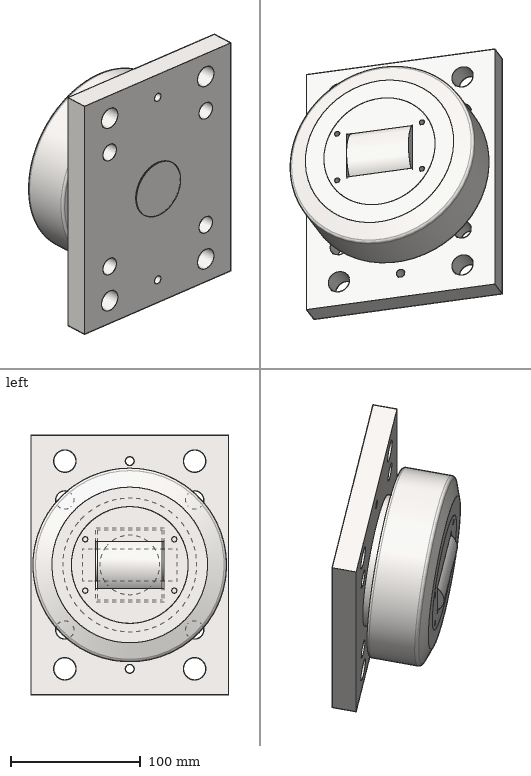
import cadquery as cq

ring_front_x = 5.0
ring_width = 45.5
collar_thickness = 7.8
plate_thickness = 19.0
shank_overhang = 1.0
ring_back_x = ring_front_x + ring_width
plate_front_x = ring_back_x + collar_thickness
plate_back_x = plate_front_x + plate_thickness
shank_end_x = plate_back_x + shank_overhang

plate_width = 152.5
plate_height = 200.0
corner_hole_diameter = 17.0
inner_hole_diameter = 14.0
dowel_hole_diameter = 6.5
hole_spacing_y = 100.0
corner_hole_spacing_z = 160.0
inner_hole_spacing_z = 100.0

ring_radius = 74.5
cone_small_radius = 60.0
cone_length = 5.5
front_edge_fillet = 3.0
back_edge_fillet = 2.0

head_radius = 45.0
collar_radius = 51.5
shank_radius = 23.0
screw_hole_diameter = 4.0
screw_hole_depth = 8.0
screw_hole_spacing_y = 68.5
screw_hole_spacing_z = 39.5

roller_radius = 27.0
roller_length = 50.0
roller_axis_x = roller_radius
roller_clearance = 1.5
pocket_radius = roller_radius + roller_clearance
pocket_length = roller_length + 2 * roller_clearance
axle_radius = 12.5
axle_seat_depth = 10.0
axle_length = pocket_length + 2 * axle_seat_depth


def facing_x(x):
    """Workplane at X = x whose local axes are Y and Z, with the normal along +X."""
    return cq.Workplane("YZ", origin=(x, 0, 0))


def roller_cylinder(radius, length):
    """Cylinder along Y, centred on the axis of the side roller."""
    end_plane = cq.Workplane("XZ", origin=(roller_axis_x, length / 2, 0))
    return end_plane.circle(radius).extrude(length)


def make_plate():
    def hole_cutter(points, diameter):
        return facing_x(plate_front_x).pushPoints(points).circle(diameter / 2).extrude(plate_thickness)

    def corner_points(spacing_z):
        return [(y * hole_spacing_y / 2, z * spacing_z / 2) for y in (-1, 1) for z in (-1, 1)]

    dowel_points = [(0, z * corner_hole_spacing_z / 2) for z in (-1, 1)]
    plate = facing_x(plate_front_x).rect(plate_width, plate_height).extrude(plate_thickness)
    plate = plate.cut(hole_cutter(corner_points(corner_hole_spacing_z), corner_hole_diameter))
    plate = plate.cut(hole_cutter(corner_points(inner_hole_spacing_z), inner_hole_diameter))
    plate = plate.cut(hole_cutter(dowel_points, dowel_hole_diameter))
    return plate.cut(hole_cutter([(0, 0)], 2 * shank_radius))


def make_outer_ring():
    ring = (
        cq.Workplane("XZ")
        .moveTo(ring_front_x, head_radius)
        .lineTo(ring_front_x, cone_small_radius)
        .lineTo(ring_front_x + cone_length, ring_radius)
        .lineTo(ring_back_x, ring_radius)
        .lineTo(ring_back_x, head_radius)
        .close()
        .revolve(360, (0, 0, 0), (1, 0, 0))
    )
    rim_front = cq.selectors.BoxSelector(
        (ring_front_x + cone_length / 2, -plate_width, -plate_width),
        (ring_front_x + 2 * cone_length, plate_width, plate_width),
    )
    ring = ring.edges("%CIRCLE").edges(rim_front).fillet(front_edge_fillet)
    return ring.faces(">X").edges(cq.selectors.RadiusNthSelector(-1)).fillet(back_edge_fillet)


def make_bolt():
    head = facing_x(ring_front_x).circle(head_radius).extrude(ring_width)
    collar = facing_x(ring_back_x).circle(collar_radius).extrude(collar_thickness)
    shank = facing_x(plate_front_x).circle(shank_radius).extrude(shank_end_x - plate_front_x)
    screw_holes = (
        facing_x(ring_front_x)
        .rect(screw_hole_spacing_y, screw_hole_spacing_z, forConstruction=True)
        .vertices()
        .circle(screw_hole_diameter / 2)
        .extrude(screw_hole_depth)
    )
    bolt = head.union(collar).union(shank)
    bolt = bolt.cut(roller_cylinder(pocket_radius, pocket_length))
    bolt = bolt.cut(roller_cylinder(axle_radius, axle_length))
    return bolt.cut(screw_holes)


def make_roller():
    return roller_cylinder(roller_radius, roller_length).cut(roller_cylinder(axle_radius, roller_length))


def make_axle():
    return roller_cylinder(axle_radius, axle_length)


plate = make_plate()
outer_ring = make_outer_ring()
bolt = make_bolt()
roller = make_roller()
axle = make_axle()

result = cq.Compound.makeCompound([plate.val(), outer_ring.val(), bolt.val(), roller.val(), axle.val()])